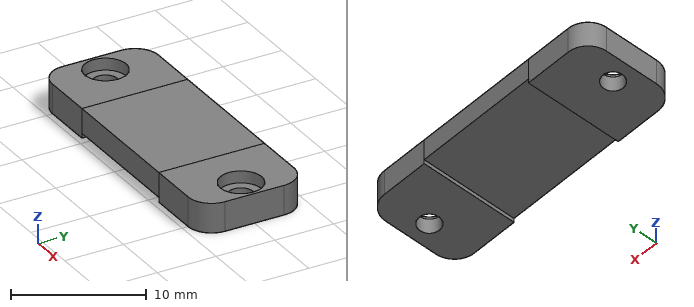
import cadquery as cq

LENGTH = 24.0
WIDTH = 9.0
HEIGHT = 2.5

BAR_LENGTH = 11.35
BAR_HEIGHT = 2.1

END_LENGTH = (LENGTH - BAR_LENGTH) / 2
CORNER_RADIUS = 2.0

HOLE_DIAMETER = 2.0
COUNTERBORE_DIAMETER = 3.5
COUNTERBORE_DEPTH = 1.0
HOLE_OFFSET = LENGTH / 2 - CORNER_RADIUS


def make_bar():
    """Plain rectangular bar between the two end blocks."""
    return (
        cq.Workplane("XY")
        .workplane(offset=HEIGHT - BAR_HEIGHT)
        .rect(BAR_LENGTH, WIDTH)
        .extrude(BAR_HEIGHT)
    )


def make_end_block(side):
    """End block with two rounded outer corners; side is -1 or +1 along X."""
    outer_edges = ">X and |Z" if side > 0 else "<X and |Z"
    block_center = side * (BAR_LENGTH + END_LENGTH) / 2
    block = (
        cq.Workplane("XY")
        .center(block_center, 0)
        .rect(END_LENGTH, WIDTH)
        .extrude(HEIGHT)
        .edges(outer_edges)
        .fillet(CORNER_RADIUS)
    )
    return (
        block.faces(">Z")
        .workplane(origin=(side * HOLE_OFFSET, 0, HEIGHT))
        .cboreHole(HOLE_DIAMETER, COUNTERBORE_DIAMETER, COUNTERBORE_DEPTH)
    )


bar = make_bar()
end_blocks = [make_end_block(side) for side in (-1, 1)]

result = cq.Compound.makeCompound([bar.val(), *[block.val() for block in end_blocks]])